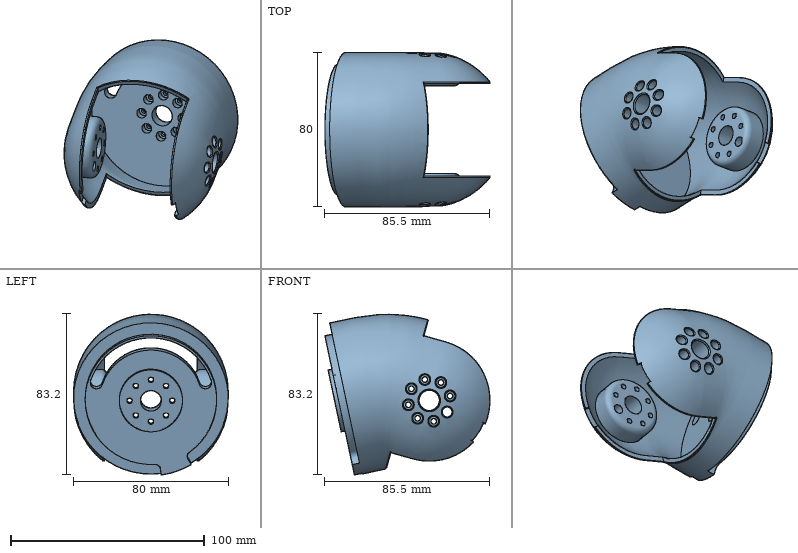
import cadquery as cq
import math


base_tilt = 12.0
arm_tilt = 15.8
outer_radius = 40.0
inner_radius = 37.5
bend_radius = 41.0
base_straight = 13.1
arm_straight = 11.1

bolt_circle_radius = 11.0
bolt_count = 8
bolt_hole = 2.7
counterbore = 5.0
bolt_grip = 3.0

plate_radius = 34.0
plate_step = 3.85
plate_back = 2.2
hub_diameter = 32.7
hub_height = 2.05
hub_bore = 10.8

slot_outer_radius = 32.8
slot_inner_radius = 26.4
slot_end_angle = 18.0

tab_start_angle = -121.4
tab_end_angle = -97.6
tab_fillet = 3.0

arm_inner_y = 23.9
arm_half_width = 31.45
lip_setback = 0.6
lip_distance = arm_straight + lip_setback
lip_chamfer = 0.4
boss_diameter = 32.0
boss_inner_y = 22.65
boss_fillet = 3.0
hinge_bore = 10.4
hinge_bore_chamfer = 0.6
counterbore_chamfer = 0.5
rim_depth_limit = 35.6

cable_position = bolt_count - 1
cable_angle = base_tilt + cable_position * 360 / bolt_count
notch_width = 11.1
notch_y = 25.9

reach = 4 * outer_radius


def direction(angle):
    """Unit vector in the XZ plane, at an angle above +X."""
    return cq.Vector(math.cos(math.radians(angle)), 0, math.sin(math.radians(angle)))


def polar(radius, angle):
    return (radius * math.cos(math.radians(angle)), radius * math.sin(math.radians(angle)))


base_axis = direction(base_tilt)
arm_axis = direction(-arm_tilt)
base_up = direction(base_tilt + 90)
arm_up = direction(90 - arm_tilt)
bend_end = arm_axis * -arm_straight
bend_pivot = bend_end - arm_up * bend_radius
bend_start = bend_pivot + base_up * bend_radius
ring_centre = bend_start - base_axis * base_straight

ring_plane = cq.Plane(origin=ring_centre, xDir=(0, 1, 0), normal=base_axis)
bend_plane = cq.Plane(origin=bend_start, xDir=(0, 1, 0), normal=base_axis)
arm_plane = cq.Plane(origin=bend_end, xDir=(0, 1, 0), normal=arm_axis)


def hinge_plane(angle):
    """Plane across the hinge axis with local x at an angle above +X and the normal along -Y."""
    return cq.Plane(origin=(0, 0, 0), xDir=direction(angle), normal=(0, -1, 0))


def both_arms(solid):
    return solid.union(solid.mirror("XZ"))


def arm_stub(radius):
    """Straight rod from the bend to the hinge axis, with a ball end."""
    rod = cq.Workplane(arm_plane).circle(radius).extrude(arm_straight)
    return rod.union(cq.Workplane("XY").sphere(radius))


def bent_rod(radius, start):
    """Base and bend of the pipe as a solid, beginning a distance behind the ring face."""
    base = cq.Workplane(ring_plane).workplane(offset=start).circle(radius).extrude(base_straight - start)
    bend = (
        cq.Workplane(bend_plane)
        .circle(radius)
        .revolve(base_tilt + arm_tilt, (-0.85, -bend_radius), (0.85, -bend_radius))
    )
    return base.union(bend)


def gap(angle, start, width, half_gap):
    """Block centred between the arms, running outward from a distance along a direction."""
    return (
        cq.Workplane(hinge_plane(angle))
        .moveTo(start + reach / 2, 0)
        .rect(reach, width)
        .extrude(half_gap, both=True)
    )


def opening():
    """Everything past the lip except the two round-ended arms."""
    past_lip = gap(-arm_tilt, -lip_distance, reach, reach)
    outline = (
        cq.Workplane(hinge_plane(-arm_tilt))
        .moveTo(-lip_distance, arm_half_width)
        .lineTo(0, arm_half_width)
        .threePointArc((arm_half_width, 0), (0, -arm_half_width))
        .lineTo(-lip_distance, -arm_half_width)
        .close()
        .extrude(reach, both=True)
    )
    arms = outline.cut(gap(-arm_tilt, -lip_distance, reach, arm_inner_y))
    return past_lip.cut(arms)


def lip_bevel():
    """Ring that bevels the outer edge of the lip between the two arms."""
    bevel_start = cq.Workplane(arm_plane).workplane(offset=-lip_setback - lip_chamfer)
    ring = bevel_start.circle(reach).extrude(lip_chamfer)
    cone = (
        bevel_start.circle(outer_radius)
        .workplane(offset=lip_chamfer)
        .circle(outer_radius - lip_chamfer)
        .loft(ruled=True)
    )
    rim_y = math.sqrt(outer_radius**2 - arm_half_width**2)
    between_arms = cq.Workplane("XZ").rect(2 * reach, 2 * reach).extrude(rim_y, both=True)
    return ring.cut(cone).intersect(between_arms)


def shell():
    outer = bent_rod(outer_radius, 0).union(arm_stub(outer_radius))
    cavity = bent_rod(inner_radius, plate_back).union(arm_stub(inner_radius))
    notch = gap(cable_angle, boss_diameter / 2, notch_width, notch_y)
    return outer.cut(cavity).cut(opening()).cut(notch).cut(lip_bevel())


def arm_bosses():
    """Solid bosses from inside the arms out to the middle of the shell wall."""
    boss = (
        cq.Workplane(hinge_plane(-arm_tilt))
        .workplane(offset=boss_inner_y)
        .circle(boss_diameter / 2)
        .extrude(outer_radius - boss_inner_y)
        .faces(">Y")
        .fillet(boss_fillet)
    )
    mid_wall = (outer_radius + inner_radius) / 2
    return both_arms(boss.intersect(bent_rod(mid_wall, plate_back).union(arm_stub(mid_wall))))


def hinge_holes():
    pattern = cq.Workplane(hinge_plane(base_tilt))
    holes = pattern.circle(hinge_bore / 2).extrude(reach, both=True)
    for position in range(bolt_count):
        spot = pattern.center(*polar(bolt_circle_radius, position * 360 / bolt_count))
        if position == cable_position:
            holes = holes.union(spot.circle(counterbore / 2).extrude(reach, both=True))
        else:
            shank = spot.circle(bolt_hole / 2).extrude(reach, both=True)
            head = spot.workplane(offset=boss_inner_y + bolt_grip).circle(counterbore / 2).extrude(reach)
            holes = holes.union(shank).union(both_arms(head))
    return holes


def chamfer_rims(body):
    """Chamfer the hinge holes where they meet the outer surface of both arms."""
    rims = [(cq.Vector(0, 0, 0), hinge_bore, hinge_bore_chamfer)]
    for position in range(bolt_count):
        centre = direction(base_tilt + position * 360 / bolt_count) * bolt_circle_radius
        rims.append((centre, counterbore, counterbore_chamfer))
    for centre, diameter, size in rims:
        for side in (1, -1):
            half = diameter / 2 + size / 2
            low = (centre.x - half, side * rim_depth_limit, centre.z - half)
            high = (centre.x + half, side * reach, centre.z + half)
            body = body.edges(cq.selectors.BoxSelector(low, high)).chamfer(size)
    return body


def plate_step_and_hub():
    disc = cq.Workplane(ring_plane).circle(plate_radius).extrude(-plate_step)
    middle_angle = (tab_start_angle + tab_end_angle) / 2
    tab = (
        cq.Workplane(ring_plane)
        .lineTo(*polar(outer_radius, tab_start_angle))
        .threePointArc(polar(outer_radius, middle_angle), polar(outer_radius, tab_end_angle))
        .close()
        .extrude(-plate_step)
    )
    step = disc.union(tab)
    for angle in (tab_start_angle, tab_end_angle):
        x, y = polar(plate_radius, angle)
        corner = ring_plane.toWorldCoords((x, y, -plate_step / 2))
        step = step.edges(cq.selectors.NearestToPointSelector(corner.toTuple())).fillet(tab_fillet)
    hub_face = cq.Workplane(ring_plane).workplane(offset=-plate_step)
    return step.union(hub_face.circle(hub_diameter / 2).extrude(-hub_height))


def plate_slot():
    mid_radius = (slot_outer_radius + slot_inner_radius) / 2
    end_round = (slot_outer_radius - slot_inner_radius) / 2
    far_angle = 180 - slot_end_angle
    tip_angle = slot_end_angle - math.degrees(end_round / mid_radius)
    return (
        cq.Workplane(ring_plane)
        .workplane(offset=-plate_step)
        .moveTo(*polar(slot_outer_radius, slot_end_angle))
        .threePointArc((0, slot_outer_radius), polar(slot_outer_radius, far_angle))
        .threePointArc(polar(mid_radius, 180 - tip_angle), polar(slot_inner_radius, far_angle))
        .threePointArc((0, slot_inner_radius), polar(slot_inner_radius, slot_end_angle))
        .threePointArc(polar(mid_radius, tip_angle), polar(slot_outer_radius, slot_end_angle))
        .close()
        .extrude(plate_step + plate_back)
    )


def hub_holes():
    """Centre bore and bolt holes, the bolt heads sunk from inside the shell."""
    depth = hub_height + plate_step + plate_back
    face = cq.Workplane(ring_plane).workplane(offset=-plate_step - hub_height)
    seat = face.workplane(offset=bolt_grip)
    bore = face.circle(hub_bore / 2).extrude(depth)
    shanks = face.polarArray(bolt_circle_radius, 90, 360, bolt_count).circle(bolt_hole / 2).extrude(depth)
    heads = (
        seat.polarArray(bolt_circle_radius, 90, 360, bolt_count)
        .circle(counterbore / 2)
        .extrude(depth - bolt_grip)
    )
    return bore.union(shanks).union(heads)


hinge_body = chamfer_rims(shell().union(arm_bosses()).cut(hinge_holes()))
result = hinge_body.union(plate_step_and_hub()).cut(plate_slot()).cut(hub_holes())